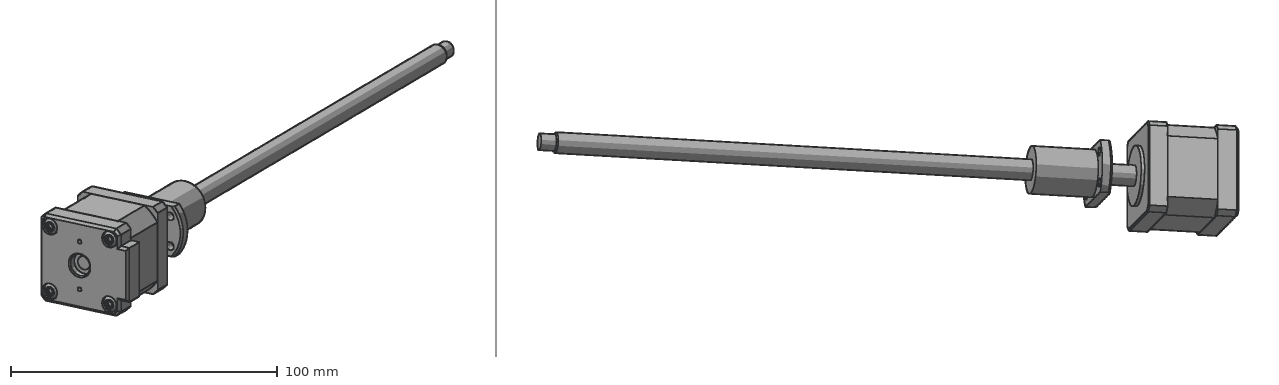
import cadquery as cq
import math

OVERALL_LENGTH = 265.5

MOTOR_SIDE = 35.0
MOTOR_LENGTH = 35.0
REAR_COVER_LENGTH = 8.2
FRONT_FLANGE_LENGTH = 7.5
COVER_ROUND_RADIUS = 23.5
REAR_EDGE_CHAMFER = 1.0
FRONT_EDGE_CHAMFER = 0.5
STATOR_SIDE = 34.8
STATOR_ROUND_RADIUS = 21.0
PILOT_RADIUS = 11.5
PILOT_HEIGHT = 1.3

CONNECTOR_REACH = 21.2
CONNECTOR_WIDTH = 21.8

CENTER_RECESS_RADIUS = 4.2
CENTER_RECESS_DEPTH = 3.2
CENTER_RECESS_CHAMFER = 0.5
TAPPED_HOLE_RADIUS = 0.8
TAPPED_HOLE_OFFSET = 9.5
TAPPED_HOLE_DEPTH = 2.7

SCREW_OFFSET = 13.0
HEAD_RADIUS = 3.2
HEAD_HEIGHT = 2.0
HEAD_CHAMFER = 1.3
SOCKET_DIAMETER = 2.7
SOCKET_DEPTH = 1.0

LEAD_SCREW_RADIUS = 4.0
LEAD_SCREW_CHAMFER = 0.5
JOURNAL_RADIUS = 3.2
JOURNAL_LENGTH = 5.8
REAR_SHAFT_RADIUS = 2.7

NUT_START = 48.3
NUT_FLANGE_THICKNESS = 4.0
NUT_LENGTH = 28.0
NUT_RADIUS = 9.0
NUT_FLANGE_RADIUS = 15.7
NUT_FLANGE_HEIGHT = 20.2
NUT_FLANGE_CHAMFER = 0.8
NUT_HOLE_CIRCLE_RADIUS = 12.0
NUT_HOLE_RADIUS = 1.5
NUT_HOLE_ANGLE = 30.0

PILOT_FACE = MOTOR_LENGTH + PILOT_HEIGHT


def rod(radius, start, end, x=0.0, z=0.0):
    """Cylinder along Y between two Y positions."""
    return cq.Workplane("XZ", origin=(x, start, z)).circle(radius).extrude(start - end)


def block(width, height, start, end, x=0.0):
    """Rectangular block centred on Z = 0 between two Y positions."""
    return cq.Workplane("XZ", origin=(x, start, 0)).rect(width, height).extrude(start - end)


screw_places = [(sx * SCREW_OFFSET, sz * SCREW_OFFSET) for sx in (-1, 1) for sz in (-1, 1)]


def make_rear_cover():
    """Rear cover with its connector block, shaft recess, tapped holes and counterbores."""
    cover = block(MOTOR_SIDE, MOTOR_SIDE, 0, REAR_COVER_LENGTH)
    cover = cover.intersect(rod(COVER_ROUND_RADIUS, 0, REAR_COVER_LENGTH))
    connector = block(CONNECTOR_REACH, CONNECTOR_WIDTH, 0, REAR_COVER_LENGTH, CONNECTOR_REACH / 2)
    cover = cover.union(connector).faces("<Y").chamfer(REAR_EDGE_CHAMFER)
    cover = cover.cut(rod(CENTER_RECESS_RADIUS, 0, CENTER_RECESS_DEPTH))
    mouth_radius = CENTER_RECESS_RADIUS + CENTER_RECESS_CHAMFER
    mouth = cq.Solid.makeCone(
        mouth_radius, CENTER_RECESS_RADIUS, CENTER_RECESS_CHAMFER, cq.Vector(0, 0, 0), cq.Vector(0, 1, 0)
    )
    cover = cover.cut(mouth)
    cover = cover.cut(rod(REAR_SHAFT_RADIUS, 0, REAR_COVER_LENGTH))
    for side in (-1, 1):
        cover = cover.cut(rod(TAPPED_HOLE_RADIUS, 0, TAPPED_HOLE_DEPTH, z=side * TAPPED_HOLE_OFFSET))
    for x, z in screw_places:
        cover = cover.cut(rod(HEAD_RADIUS, 0, HEAD_HEIGHT, x, z))
    return cover


def make_motor_body():
    """Stator with the front flange and the pilot boss, bored for the shaft."""
    flange_start = MOTOR_LENGTH - FRONT_FLANGE_LENGTH
    stator = block(STATOR_SIDE, STATOR_SIDE, REAR_COVER_LENGTH, flange_start)
    stator = stator.intersect(rod(STATOR_ROUND_RADIUS, REAR_COVER_LENGTH, flange_start))
    flange = block(MOTOR_SIDE, MOTOR_SIDE, flange_start, MOTOR_LENGTH)
    flange = flange.intersect(rod(COVER_ROUND_RADIUS, flange_start, MOTOR_LENGTH))
    flange = flange.faces(">Y").chamfer(FRONT_EDGE_CHAMFER)
    pilot = rod(PILOT_RADIUS, MOTOR_LENGTH, PILOT_FACE)
    body = stator.union(flange).union(pilot)
    return body.cut(rod(REAR_SHAFT_RADIUS, REAR_COVER_LENGTH, PILOT_FACE))


def make_cover_screw(x, z):
    """Screw head sunk flush into the rear cover."""
    head = rod(HEAD_RADIUS, 0, HEAD_HEIGHT, x, z).faces("<Y").chamfer(HEAD_CHAMFER)
    socket = cq.Workplane("XZ", origin=(x, 0, z)).polygon(6, SOCKET_DIAMETER).extrude(-SOCKET_DEPTH)
    return head.cut(socket)


def make_lead_screw():
    """Lead screw with its end journal and the shaft that runs back through the motor."""
    thread_end = OVERALL_LENGTH - JOURNAL_LENGTH
    screw = rod(LEAD_SCREW_RADIUS, PILOT_FACE, thread_end).faces(">Y").chamfer(LEAD_SCREW_CHAMFER)
    screw = screw.union(rod(JOURNAL_RADIUS, thread_end, OVERALL_LENGTH))
    return screw.union(rod(REAR_SHAFT_RADIUS, CENTER_RECESS_DEPTH, PILOT_FACE))


def make_nut():
    """Nut barrel on a round flange with two flats and four mounting holes."""
    flange_end = NUT_START + NUT_FLANGE_THICKNESS
    flange = rod(NUT_FLANGE_RADIUS, NUT_START, flange_end).faces("<Y").chamfer(NUT_FLANGE_CHAMFER)
    flange = flange.intersect(block(2 * NUT_FLANGE_RADIUS, NUT_FLANGE_HEIGHT, NUT_START, flange_end))
    for base in (0, 180):
        for turn in (-NUT_HOLE_ANGLE, NUT_HOLE_ANGLE):
            angle = math.radians(base + turn)
            x = NUT_HOLE_CIRCLE_RADIUS * math.cos(angle)
            z = NUT_HOLE_CIRCLE_RADIUS * math.sin(angle)
            flange = flange.cut(rod(NUT_HOLE_RADIUS, NUT_START, flange_end, x, z))
    nut = flange.union(rod(NUT_RADIUS, flange_end, NUT_START + NUT_LENGTH))
    return nut.cut(rod(LEAD_SCREW_RADIUS, NUT_START, NUT_START + NUT_LENGTH))


rear_cover = make_rear_cover()
motor_body = make_motor_body()
cover_screws = [make_cover_screw(x, z) for x, z in screw_places]
lead_screw = make_lead_screw()
nut = make_nut()

result = cq.Compound.makeCompound([
    rear_cover.val(),
    motor_body.val(),
    *[screw.val() for screw in cover_screws],
    lead_screw.val(),
    nut.val(),
])